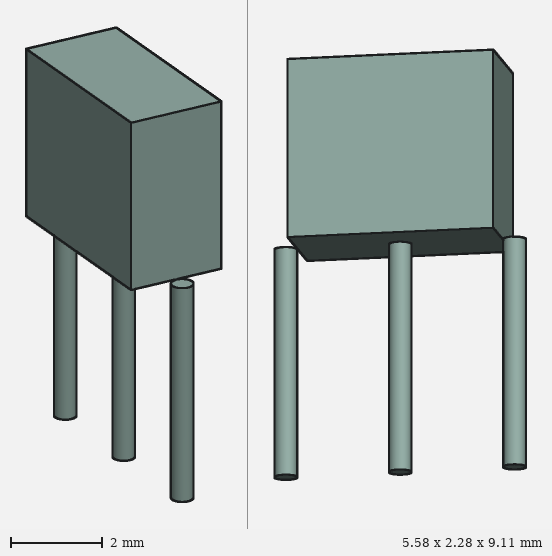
import cadquery as cq

total_height = 9.11

body_width = 4.57
body_depth = 2.28
body_height = 4.0

lead_diameter = 0.5
lead_pitch = 2.54
lead_length = total_height - body_height
lead_positions = [-lead_pitch, 0, lead_pitch]


def make_body():
    """Plain block with its underside at Z = 0."""
    return cq.Workplane("XY").box(body_width, body_depth, body_height, centered=(True, True, False))


def make_lead(x):
    """Straight round lead hanging from the level of the body's underside."""
    return cq.Workplane("XY").center(x, 0).circle(lead_diameter / 2).extrude(-lead_length)


body = make_body()
leads = [make_lead(x) for x in lead_positions]

result = cq.Compound.makeCompound([body.val(), *[lead.val() for lead in leads]])